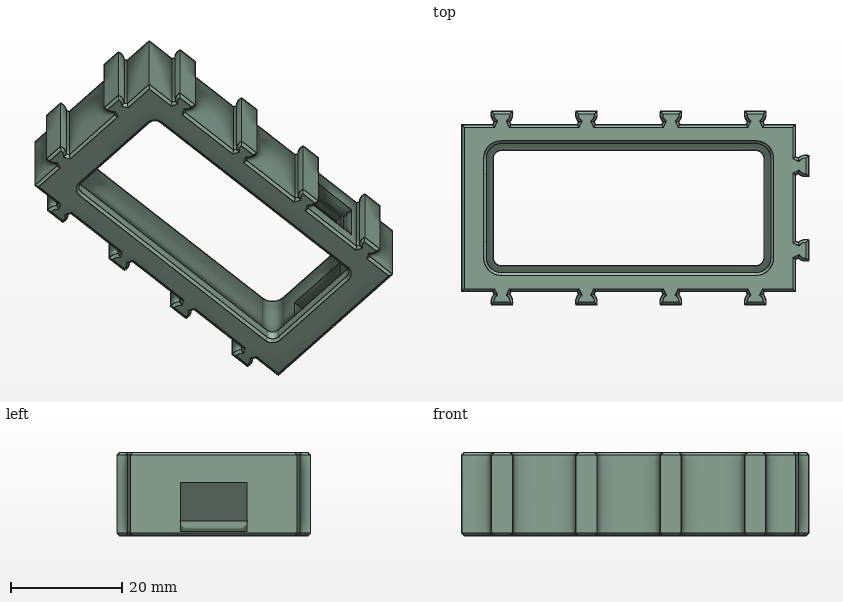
import cadquery as cq
import math

BODY_LENGTH = 60.0
BODY_WIDTH = 30.0
HEIGHT = 15.0
EDGE_CHAMFER = 0.5

CAVITY_LENGTH = 51.1
CAVITY_WIDTH = 23.2
CAVITY_RADIUS = 2.7
LEDGE_WIDTH = 1.25
LEDGE_THICKNESS = 2.7
FLOOR_OPENING_RADIUS = CAVITY_RADIUS - LEDGE_WIDTH

TOOTH_PITCH = 15.17
TOOTH_REACH = 2.397
TEETH_PER_LONG_SIDE = 4
TEETH_PER_END = 2
HEAD_RADIUS = 1.95
HEAD_CENTER_REACH = 1.85
NECK_REACH = 0.5
NECK_HALF_WIDTH = math.sqrt(HEAD_RADIUS**2 - (HEAD_CENTER_REACH - NECK_REACH) ** 2)
TIP_HALF_WIDTH = math.sqrt(HEAD_RADIUS**2 - (TOOTH_REACH - HEAD_CENTER_REACH) ** 2)
ROOT_HALF_WIDTH = 1.65
TOOTH_OVERLAP = 1.0

END_WINDOW_WIDTH = 12.0
END_WINDOW_BOTTOM = 0.75
END_WINDOW_TOP = 9.6

PORT_CENTER_X = -14.7
PORT_CENTER_Z = 6.95
PORT_WIDTH = 9.0
PORT_HEIGHT = 6.6
PORT_LIP_THICKNESS = 1.3
PORT_RECESS_MARGIN = 0.7


def centered_offsets(count):
    """Positions of `count` teeth spread evenly about the middle of a side."""
    return [(index - (count - 1) / 2) * TOOTH_PITCH for index in range(count)]


def make_tooth():
    """One round-headed tooth pointing to +Y, with its root on the X axis."""
    return (
        cq.Workplane("XY")
        .moveTo(-ROOT_HALF_WIDTH, -TOOTH_OVERLAP)
        .lineTo(-ROOT_HALF_WIDTH, 0)
        .lineTo(-NECK_HALF_WIDTH, NECK_REACH)
        .threePointArc((-HEAD_RADIUS, HEAD_CENTER_REACH), (-TIP_HALF_WIDTH, TOOTH_REACH))
        .lineTo(TIP_HALF_WIDTH, TOOTH_REACH)
        .threePointArc((HEAD_RADIUS, HEAD_CENTER_REACH), (NECK_HALF_WIDTH, NECK_REACH))
        .lineTo(ROOT_HALF_WIDTH, 0)
        .lineTo(ROOT_HALF_WIDTH, -TOOTH_OVERLAP)
        .close()
        .extrude(HEIGHT)
    )


def make_toothed_block():
    """Solid block with all its teeth."""
    block = cq.Workplane("XY").box(BODY_LENGTH, BODY_WIDTH, HEIGHT, centered=(True, True, False))
    tooth = make_tooth()
    turned_tooth = tooth.rotate((0, 0, 0), (0, 0, 1), 180)
    end_tooth = tooth.rotate((0, 0, 0), (0, 0, 1), -90)
    for x in centered_offsets(TEETH_PER_LONG_SIDE):
        block = block.union(tooth.translate((x, BODY_WIDTH / 2, 0)))
        block = block.union(turned_tooth.translate((x, -BODY_WIDTH / 2, 0)))
    for y in centered_offsets(TEETH_PER_END):
        block = block.union(end_tooth.translate((BODY_LENGTH / 2, y, 0)))
    return block


def rounded_prism(length, width, radius, bottom, top):
    """Upright rectangular prism with rounded vertical edges."""
    return (
        cq.Workplane("XY", origin=(0, 0, bottom))
        .rect(length, width)
        .extrude(top - bottom)
        .edges("|Z")
        .fillet(radius)
    )


def make_cavity():
    """Cavity together with the floor opening inside its ledge."""
    cavity = rounded_prism(CAVITY_LENGTH, CAVITY_WIDTH, CAVITY_RADIUS, LEDGE_THICKNESS, HEIGHT)
    floor_opening = rounded_prism(
        CAVITY_LENGTH - 2 * LEDGE_WIDTH,
        CAVITY_WIDTH - 2 * LEDGE_WIDTH,
        FLOOR_OPENING_RADIUS,
        0,
        HEIGHT,
    )
    return cavity.union(floor_opening)


def make_end_window():
    """Block that cuts the window through the -X wall up to the cavity."""
    wall = (BODY_LENGTH - CAVITY_LENGTH) / 2
    return cq.Workplane("XY", origin=(-BODY_LENGTH / 2, 0, END_WINDOW_BOTTOM)).box(
        wall,
        END_WINDOW_WIDTH,
        END_WINDOW_TOP - END_WINDOW_BOTTOM,
        centered=(False, True, False),
    )


def make_port():
    """Port opening through the +Y wall with a larger recess on its outer side."""
    recess_start = CAVITY_WIDTH / 2 + PORT_LIP_THICKNESS
    opening = cq.Workplane("XY", origin=(PORT_CENTER_X, CAVITY_WIDTH / 2, PORT_CENTER_Z)).box(
        PORT_WIDTH,
        BODY_WIDTH / 2 - CAVITY_WIDTH / 2,
        PORT_HEIGHT,
        centered=(True, False, True),
    )
    recess = cq.Workplane("XY", origin=(PORT_CENTER_X, recess_start, PORT_CENTER_Z)).box(
        PORT_WIDTH + 2 * PORT_RECESS_MARGIN,
        BODY_WIDTH / 2 - recess_start,
        PORT_HEIGHT + 2 * PORT_RECESS_MARGIN,
        centered=(True, False, True),
    )
    return opening.union(recess)


frame = make_toothed_block().cut(make_cavity())
frame = frame.faces("<Z or >Z").edges().chamfer(EDGE_CHAMFER)
result = frame.cut(make_end_window()).cut(make_port())